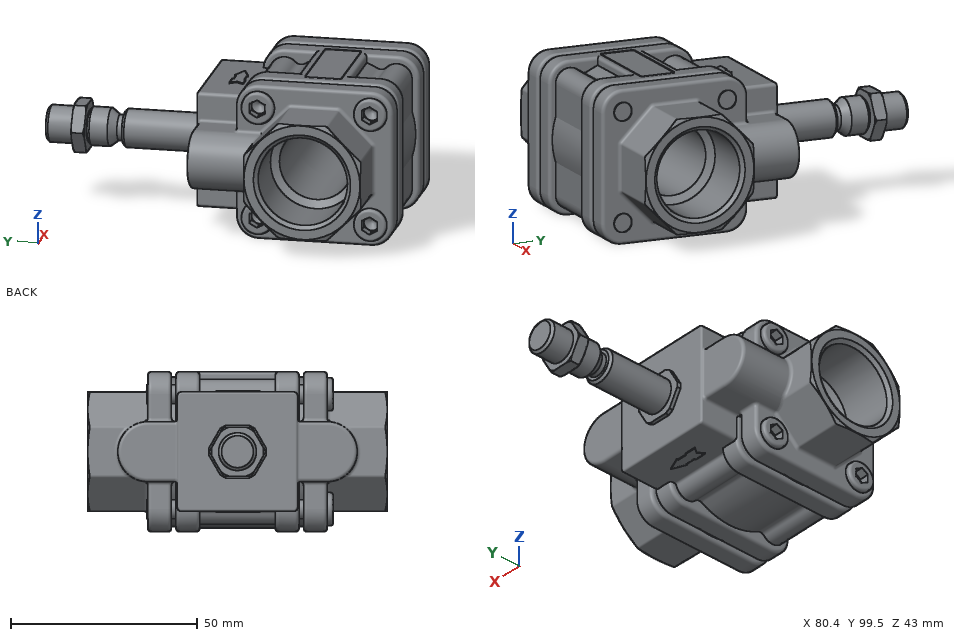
import cadquery as cq
import math


body_length = 80.4
flange_size = 43.0
flange_thickness = 6.4
flange_corner_radius = 6.1
flange_edge_radius = 1.0
outer_flange_face = 24.1
inner_flange_face = 16.5

octagon_flats = 32.0
octagon_edge_radius = 1.0
octagon_chamfer_length = 0.6
octagon_chamfer_radius = 15.9

port_side_fillet = 1.0

bore_radius = 10.0
thread_radius = 12.2
thread_depth = 16.9
drill_slope = math.tan(math.radians(30))
thread_mouth_chamfer = 1.1

ring_radius = 20.1
barrel_radius = 20.5
bolt_spacing = 30.8
sleeve_radius = 4.1
valley_radius = 2.1

bolt_radius = 2.6
bolt_end_projection = 0.3
bolt_head_radius = 4.5
bolt_head_height = 1.6
bolt_head_rounding = 0.8
socket_flats = 4.3
socket_depth = 3.0

pad_width = 14.1
pad_edge_radius = 0.9
plate_length = 26.7
plate_width = 9.9
plate_depth = 0.2
plate_corner_radius = 0.7

arm_half_length = 32.1
arm_radius = 8.1
arm_end = 33.4
arm_edge_radius = 1.0

block_length = 32.2
block_height = 32.0
block_end = 34.0
block_edge_radius = 1.0
block_end_edge_radius = 0.6
block_fillet = 0.9

arrow_center_y = 25.4
arrow_height = 0.3
arrow_tail_x = -6.0
arrow_notch_x = -4.6
arrow_shaft_x = -2.1
arrow_head_x = 1.2
arrow_tip_x = 5.7
arrow_half_width = 1.9
arrow_shaft_half_width = 1.5

part_length = 99.5
collar_flats = 14.2
collar_corners = 15.4
collar_thickness = 1.2
stem_radius = 5.3
stem_length = 21.9
stem_chamfer = 0.8
waist_radius = 3.53
waist_length = 1.5
waist_cone_length = 2.3
plug_length = 5.8
plug_chamfer = 0.8
neck_radius = 4.2
nut_flats = 13.1
nut_thickness = 3.6
nut_end = 70.4
nut_chamfer = 0.3
tip_radius = 5.1
tip_chamfer = 0.8

half_length = body_length / 2
half_flange = flange_size / 2
bolt_offset = bolt_spacing / 2
flat_offset = bolt_offset + sleeve_radius
middle_half_length = inner_flange_face - flange_thickness
outer_flange_back = outer_flange_face - flange_thickness
part_end = part_length - half_flange
tolerance = 0.01
bolt_positions = [(y, z) for y in (-bolt_offset, bolt_offset) for z in (-bolt_offset, bolt_offset)]


def plane_at(x):
    """Work plane facing +X at the given X, with local axes along Y and Z."""
    return cq.Workplane("YZ", origin=(x, 0, 0))


def rod(x_start, x_end, radius, y=0.0, z=0.0):
    """Round bar along X."""
    return plane_at(x_start).center(y, z).circle(radius).extrude(x_end - x_start)


def mirrored_in_x(shape):
    """The shape and its mirror image, joined."""
    return shape.union(shape.mirror("YZ"))


def flange(x_start):
    """Square flange with round corners and rounded edges."""
    return (
        plane_at(x_start)
        .rect(flange_size, flange_size)
        .extrude(flange_thickness)
        .edges("|X")
        .fillet(flange_corner_radius)
        .faces("<X or >X")
        .edges()
        .fillet(flange_edge_radius)
    )


def octagon(x_start, length):
    """Octagonal bar along X with flats facing Y and Z."""
    corner_radius = octagon_flats / 2 / math.cos(math.pi / 8)
    return (
        plane_at(x_start)
        .transformed(rotate=(0, 0, 180 / 8))
        .polygon(8, 2 * corner_radius)
        .extrude(length)
    )


def port_cone():
    """Solid of revolution whose cone cuts the octagon corners back at the port face."""
    corner_radius = octagon_flats / 2 / math.cos(math.pi / 8)
    slope = octagon_chamfer_length / (corner_radius - octagon_chamfer_radius)
    reach = octagon_flats
    return (
        cq.Workplane("XY")
        .moveTo(0, 0)
        .lineTo(half_length, 0)
        .lineTo(half_length, octagon_chamfer_radius)
        .lineTo(half_length - slope * (reach - octagon_chamfer_radius), reach)
        .lineTo(0, reach)
        .close()
        .revolve(360, (0, 0, 0), (1, 0, 0))
    )


def port():
    """Octagonal port on the +X side."""
    start = outer_flange_face - flange_thickness / 2
    body = octagon(start, half_length - start)
    return body.edges("|X").fillet(octagon_edge_radius).intersect(port_cone())


def sleeve_valley(side_y, side_z):
    """Fill between the barrel and one bolt sleeve, ending in a concave arc that touches both."""
    to_barrel = barrel_radius + valley_radius
    to_sleeve = sleeve_radius + valley_radius
    to_bolt = bolt_offset * math.sqrt(2)
    turn = math.acos((to_barrel**2 + to_bolt**2 - to_sleeve**2) / (2 * to_barrel * to_bolt))
    angle = math.pi / 4 + turn
    arc_y, arc_z = to_barrel * math.cos(angle), to_barrel * math.sin(angle)
    share = barrel_radius / to_barrel
    sleeve_share = sleeve_radius / to_sleeve
    barrel_touch = (arc_y * share, arc_z * share)
    sleeve_touch = (
        bolt_offset + (arc_y - bolt_offset) * sleeve_share,
        bolt_offset + (arc_z - bolt_offset) * sleeve_share,
    )
    outline = [(0, 0), barrel_touch, (arc_y, arc_z), sleeve_touch, (bolt_offset, bolt_offset)]
    placed = [(side_y * y, side_z * z) for y, z in outline]
    filled = plane_at(-middle_half_length).polyline(placed).close().extrude(2 * middle_half_length)
    cutter_y, cutter_z = placed[2]
    return filled.cut(rod(-middle_half_length, middle_half_length, valley_radius, cutter_y, cutter_z))


def middle():
    """Barrel with four bolt sleeves, flat sides along Y and valleys above and below."""
    body = rod(-middle_half_length, middle_half_length, barrel_radius)
    body = body.union(cq.Workplane("XY").box(2 * middle_half_length, 2 * flat_offset, bolt_spacing))
    for y, z in bolt_positions:
        body = body.union(rod(-middle_half_length, middle_half_length, sleeve_radius, y, z))
        body = body.union(sleeve_valley(math.copysign(1, y), math.copysign(1, z)))
    return body


def pad():
    """Raised strip on top that carries the name plate."""
    length = 2 * (inner_flange_face - flange_edge_radius)
    return (
        cq.Workplane("XY")
        .box(length, pad_width, half_flange, centered=(True, True, False))
        .edges("|X and >Z")
        .fillet(pad_edge_radius)
    )


def plate_recess():
    """Shallow recess for the name plate."""
    return (
        cq.Workplane("XY", origin=(0, 0, half_flange - plate_depth))
        .rect(plate_length, plate_width)
        .extrude(2 * plate_depth)
        .edges("|Z")
        .fillet(plate_corner_radius)
    )


def arm():
    """Oval arm that runs from the flow axis to the back."""
    return (
        cq.Workplane("XZ")
        .slot2D(2 * arm_half_length, 2 * arm_radius)
        .extrude(-arm_end)
        .faces(">Y")
        .edges()
        .fillet(arm_edge_radius)
    )


def block():
    """Rectangular block at the back that holds the nipple."""
    return (
        cq.Workplane("XZ")
        .rect(block_length, block_height)
        .extrude(-block_end)
        .edges("|Y")
        .fillet(block_edge_radius)
        .faces(">Y")
        .edges()
        .fillet(block_end_edge_radius)
    )


def arrow(side):
    """Raised flow arrow on the top (side 1) or bottom (side -1) of the block."""
    upper = [
        (arrow_tail_x, arrow_half_width),
        (arrow_shaft_x, arrow_half_width),
        (arrow_shaft_x, arrow_shaft_half_width),
        (arrow_head_x, arrow_shaft_half_width),
        (arrow_head_x, arrow_half_width),
    ]
    lower = [(x, -y) for x, y in reversed(upper)]
    outline = upper + [(arrow_tip_x, 0)] + lower + [(arrow_notch_x, 0)]
    root = block_height / 4
    return (
        cq.Workplane("XY", origin=(0, arrow_center_y, side * root))
        .polyline(outline)
        .close()
        .extrude(side * (block_height / 2 + arrow_height - root))
    )


def bolt(y, z):
    """Bolt shank from end to end with a rounded head on the -X side."""
    head_end = -outer_flange_face - bolt_head_height
    shank = rod(-outer_flange_face, outer_flange_face + bolt_end_projection, bolt_radius, y, z)
    head = rod(head_end, -outer_flange_face, bolt_head_radius, y, z)
    head = head.faces("<X").edges().fillet(bolt_head_rounding)
    return shank.union(head)


def bolt_socket(y, z):
    """Hexagon socket in the bolt head, with corners toward Z and a drilled conical bottom."""
    head_end = -outer_flange_face - bolt_head_height
    bottom = head_end + socket_depth
    drill_radius = socket_flats / 2
    profile = [
        (head_end, 0),
        (head_end, drill_radius),
        (bottom, drill_radius),
        (bottom + drill_radius * drill_slope, 0),
    ]
    drilled = cq.Workplane("XY").polyline(profile).close().revolve(360, (0, 0, 0), (1, 0, 0))
    hexagonal = (
        plane_at(head_end)
        .transformed(rotate=(0, 0, 90))
        .polygon(6, socket_flats / math.cos(math.pi / 6))
        .extrude(socket_depth)
    )
    return hexagonal.union(drilled).translate((0, y, z))


def port_bore():
    """Through bore and the threaded mouth on the +X side."""
    shoulder = thread_radius - bore_radius
    thread_end = half_length - thread_depth
    profile = [
        (0, 0),
        (0, bore_radius),
        (thread_end - shoulder * drill_slope, bore_radius),
        (thread_end, thread_radius),
        (half_length - thread_mouth_chamfer, thread_radius),
        (half_length, thread_radius + thread_mouth_chamfer),
        (half_length, 0),
    ]
    return cq.Workplane("XY").polyline(profile).close().revolve(360, (0, 0, 0), (1, 0, 0))


def is_port_side_corner(edge):
    """True for an inner corner between the port, the arm and the outer flange."""
    box = edge.BoundingBox()
    center = edge.Center()
    inside = (
        box.xmin > outer_flange_back - tolerance
        and box.xmax < arm_half_length + tolerance
        and box.ymax < half_flange + tolerance
    )
    on_flange_face = box.xmin > outer_flange_face - tolerance and box.xmax < outer_flange_face + tolerance
    from_axis = math.hypot(center.y, center.z)
    at_port_base = on_flange_face and bore_radius < from_axis < octagon_flats / 2 + octagon_edge_radius
    on_arm = abs(center.z) < arm_radius + tolerance and center.y > octagon_flats / 2 - octagon_edge_radius
    return inside and (at_port_base or on_arm)


def port_side():
    """Port, outer flange and half of the arm on the +X side, blended into each other."""
    right_half = cq.Workplane("XY").box(body_length, 3 * arm_end, flange_size).translate((half_length, 0, 0))
    half_arm = arm().intersect(right_half)
    side = flange(outer_flange_back).union(port()).union(half_arm)
    corners = [edge for edge in side.val().Edges() if is_port_side_corner(edge)]
    return side.newObject(corners).fillet(port_side_fillet)


def back():
    """Arm and block, blended along the corners where the arm leaves the block."""
    body = arm().union(block())
    corners = [
        edge
        for edge in body.val().Edges()
        if abs(abs(edge.Center().x) - block_length / 2) < tolerance
        and abs(edge.Center().z) < arm_radius + tolerance
    ]
    return body.newObject(corners).fillet(block_fillet)


def middle_and_block():
    """Middle of the body and the block, blended where the block runs into the sleeves."""
    body = middle().union(block())
    corners = [
        edge
        for edge in body.val().Edges()
        if abs(abs(edge.Center().z) - block_height / 2) < tolerance
        and abs(edge.Center().x) < tolerance
        and bolt_offset < edge.Center().y < flat_offset
    ]
    return body.newObject(corners).fillet(block_fillet)


def make_valve():
    body = rod(-outer_flange_face, outer_flange_face, ring_radius)
    body = body.union(middle_and_block()).union(back())
    body = body.union(mirrored_in_x(port_side().union(flange(middle_half_length))))
    body = body.union(pad())
    for y, z in bolt_positions:
        body = body.union(bolt(y, z))
    for direction in (1, -1):
        body = body.union(arrow(direction))
    for y, z in bolt_positions:
        body = body.cut(bolt_socket(y, z))
    return body.cut(mirrored_in_x(port_bore())).cut(plate_recess())


def hexagon(across_flats, y_start, length):
    """Hexagonal bar along Y with corners on the X axis."""
    corner_diameter = across_flats / math.cos(math.pi / 6)
    return cq.Workplane("XZ", origin=(0, y_start, 0)).polygon(6, corner_diameter).extrude(-length)


def collar():
    """Thin hexagon with its corners cut off by a second hexagon turned by 30 degrees."""
    trimmer = hexagon(collar_corners, block_end, collar_thickness).rotate((0, 0, 0), (0, 1, 0), 30)
    return hexagon(collar_flats, block_end, collar_thickness).intersect(trimmer)


def nut():
    """Hexagon nut with both faces chamfered round."""
    corner = nut_flats / 2 / math.cos(math.pi / 6)
    start = nut_end - nut_thickness
    turned = (
        cq.Workplane("XZ", origin=(0, start, 0))
        .circle(corner)
        .extrude(-nut_thickness)
        .faces("<Y or >Y")
        .edges()
        .chamfer(nut_chamfer, 2 * nut_chamfer)
    )
    return hexagon(nut_flats, start, nut_thickness).intersect(turned)


def nipple_core():
    """Turned profile of the nipple from the collar to the tip."""
    stem_start = block_end
    stem_end = stem_start + collar_thickness + stem_length
    cone_start = stem_end + waist_length
    plug_start = cone_start + waist_cone_length
    plug_end = plug_start + plug_length
    profile = [
        (0, stem_start),
        (stem_radius, stem_start),
        (stem_radius, stem_end - stem_chamfer),
        (stem_radius - stem_chamfer, stem_end),
        (waist_radius, stem_end),
        (waist_radius, cone_start),
        (stem_radius, plug_start),
        (stem_radius, plug_end - plug_chamfer),
        (stem_radius - plug_chamfer, plug_end),
        (neck_radius, plug_end),
        (neck_radius, nut_end - nut_thickness),
        (tip_radius, nut_end - nut_thickness),
        (tip_radius, part_end - tip_chamfer),
        (tip_radius - tip_chamfer, part_end),
        (0, part_end),
    ]
    return cq.Workplane("XY").polyline(profile).close().revolve(360, (0, 0, 0), (0, 1, 0))


def make_nipple():
    return nipple_core().union(collar()).union(nut())


valve = make_valve()
nipple = make_nipple()
result = cq.Compound.makeCompound([valve.val(), nipple.val()])